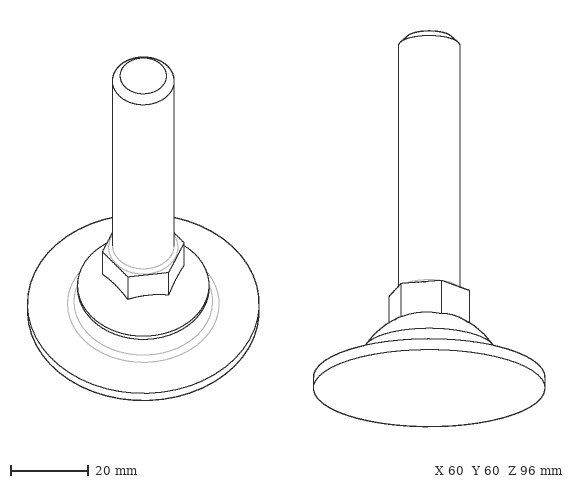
import cadquery as cq
import math

TOTAL_HEIGHT = 96.0

PLATE_DIAMETER = 60.0
PLATE_THICKNESS = 3.0
CONE_FOOT_RADIUS = 18.5
CONE_SIDE_ANGLE = 33.0
CONE_FILLET = 2.0

DOME_RADIUS = 20.0
DOME_BOTTOM = 10.5

SEAL_BOTTOM = 8.1
SEAL_OUTER_RADIUS = 17.1
SEAL_BULGE_HEIGHT = 9.9

HEX_ACROSS_FLATS = 18.5
HEX_TOP = 26.0
SHANK_DIAMETER = 16.0
SHANK_FILLET = 1.0
TIP_CHAMFER = 2.0


def cone_radius(height):
    """Radius of the cone side at a height above the plate's underside."""
    return CONE_FOOT_RADIUS - (height - PLATE_THICKNESS) * math.tan(math.radians(CONE_SIDE_ANGLE))


def make_foot():
    """Plate and cone in one piece, with a fillet where they meet."""
    profile = (
        cq.Workplane("XZ")
        .lineTo(PLATE_DIAMETER / 2, 0)
        .lineTo(PLATE_DIAMETER / 2, PLATE_THICKNESS)
        .lineTo(CONE_FOOT_RADIUS, PLATE_THICKNESS)
        .lineTo(cone_radius(DOME_BOTTOM), DOME_BOTTOM)
        .lineTo(0, DOME_BOTTOM)
        .close()
    )
    foot = profile.revolve(360, (0, 0), (0, 1))
    cone_foot_edge = cq.selectors.RadiusNthSelector(1)
    return foot.edges(cone_foot_edge).fillet(CONE_FILLET)


def make_dome():
    """Cap of the sphere above a flat bottom."""
    cap_height = DOME_RADIUS - DOME_BOTTOM
    above_bottom = (
        cq.Workplane("XY")
        .workplane(offset=DOME_BOTTOM)
        .circle(DOME_RADIUS)
        .extrude(cap_height)
    )
    return cq.Workplane("XY").sphere(DOME_RADIUS).intersect(above_bottom)


def make_seal():
    """Ring with a bulging outside, flat under the dome and fitted to the cone side."""
    dome_edge_radius = math.sqrt(DOME_RADIUS**2 - DOME_BOTTOM**2)
    profile = (
        cq.Workplane("XZ")
        .moveTo(cone_radius(DOME_BOTTOM), DOME_BOTTOM)
        .lineTo(dome_edge_radius, DOME_BOTTOM)
        .threePointArc((SEAL_OUTER_RADIUS, SEAL_BULGE_HEIGHT), (cone_radius(SEAL_BOTTOM), SEAL_BOTTOM))
        .close()
    )
    return profile.revolve(360, (0, 0), (0, 1))


def make_stud():
    """Hexagon seated on the dome, with a filleted and chamfered shank above it."""
    corner_diameter = HEX_ACROSS_FLATS / math.cos(math.radians(30))
    hexagon = (
        cq.Workplane("XY")
        .workplane(offset=DOME_BOTTOM)
        .polygon(6, corner_diameter)
        .extrude(HEX_TOP - DOME_BOTTOM)
    )
    seated_hexagon = hexagon.cut(cq.Workplane("XY").sphere(DOME_RADIUS))
    shank = (
        cq.Workplane("XY")
        .workplane(offset=HEX_TOP)
        .circle(SHANK_DIAMETER / 2)
        .extrude(TOTAL_HEIGHT - HEX_TOP)
        .faces(">Z")
        .chamfer(TIP_CHAMFER)
    )
    stud = seated_hexagon.union(shank)
    shank_foot_edge = cq.selectors.NearestToPointSelector((0, 0, HEX_TOP))
    return stud.edges("%CIRCLE").edges(shank_foot_edge).fillet(SHANK_FILLET)


foot = make_foot()
dome = make_dome()
seal = make_seal()
stud = make_stud()

result = cq.Compound.makeCompound([foot.val(), dome.val(), seal.val(), stud.val()])